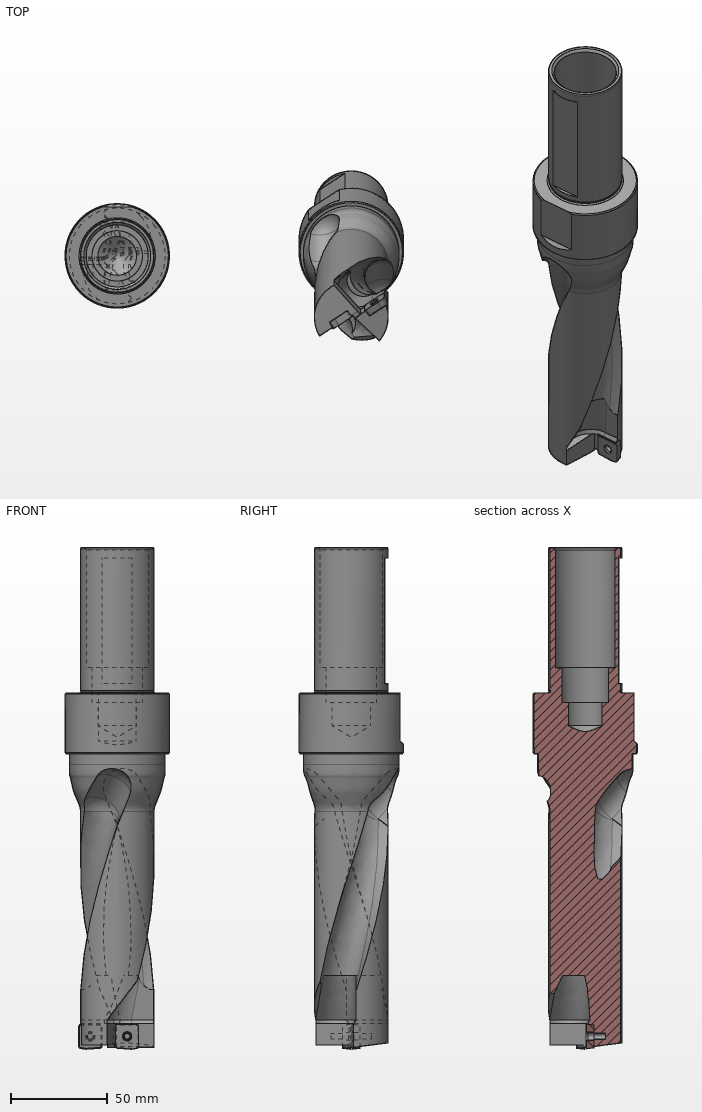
import cadquery as cq
import math


total_height = 259.13
collar_top = 184.0
collar_bottom = 152.6
cup_top = 147.2
shoulder_bottom = 122.9
body_bottom = 1.0

body_diameter = 38.09
neck_diameter = 37.59
collar_diameter = 54.0
cup_diameter = 49.5
body_radius = body_diameter / 2
neck_radius = neck_diameter / 2
collar_radius = collar_diameter / 2
cup_radius = cup_diameter / 2

clear_radius = body_radius + 3.0

neck_length = 1.4
neck_flare_radius = 19.7
neck_flare_height = 0.5
shank_chamfer_width = 0.25
shank_chamfer_height = 1.0
collar_chamfer = 0.6
shoulder_fillet = 10.0

bore_steps = [(32.05, 62.0), (26.05, 80.0), (20.0, 92.0)]
bore_chamfer = 1.27
bore_point_angle = 118.0

shank_flat_y = 17.4
shank_flat_top = total_height - 5.5
shank_flat_bottom = collar_top + 4.8
collar_flat_y = 25.2
collar_flat_bottom = 157.4

flute_count = 2
flute_bottom = 31.0
flute_top = shoulder_bottom
flute_lead_angle = 188.5
flute_twist_rate = 0.962
flute_radius = 10.5
flute_centre_distance = 14.0
slot_reach = 30.0

runout_end = cq.Vector(-2.8, -25.0, 134.5)

rake_y = 2.5
seat_floor_y = 1.2
pocket_top_z = 38.0
pocket_step_top_z = 15.2
pocket_seat_z = 13.2
pocket_top_x = 12.3
pocket_top_y = -14.5
rake_top_x = 11.7
inner_mouth_x = -5.2
inner_floor_x = -1.0
inner_rake_x = 7.3
outer_mouth_x = 2.0
outer_floor_x = 5.0
outer_rake_x = 11.0

heel_z = 2.1
relief_rise = 2.3

insert_width = 12.0
insert_top_z = 12.9
insert_corner_z = 0.6
insert_vertex_offset = 2.2
insert_corner_radius = 1.2
insert_face_y = 0.5
insert_thickness = 3.9
insert_clearance_angle = 7.0
inner_insert_x = 5.1
outer_insert_x = 13.9
insert_hole_z = 6.7
insert_hole_diameter = 4.0
insert_sink_diameter = 4.8
insert_sink_depth = 1.0
screw_hole_diameter = 3.0
screw_hole_depth = 6.0


def half_turn(shape):
    return shape.rotate((0, 0, 0), (0, 0, 1), 180)


def turned_blank():
    blend_height = cup_top - shoulder_bottom
    radius_step = cup_radius - body_radius
    radius_sum = (blend_height**2 + radius_step**2) / (2 * radius_step)
    cup_arc = radius_sum - shoulder_fillet
    end_angle = math.asin(blend_height / radius_sum)

    def cup_point(angle):
        return (cup_radius - cup_arc * (1 - math.cos(angle)), cup_top - cup_arc * math.sin(angle))

    def fillet_point(angle):
        return (
            body_radius + shoulder_fillet * (1 - math.cos(angle)),
            shoulder_bottom + shoulder_fillet * math.sin(angle),
        )

    profile = (
        cq.Workplane("XZ")
        .moveTo(0, body_bottom)
        .lineTo(body_radius, body_bottom)
        .lineTo(body_radius, shoulder_bottom)
        .spline(
            [
                (body_radius, shoulder_bottom),
                fillet_point(end_angle / 2),
                fillet_point(end_angle),
                cup_point(end_angle * 2 / 3),
                cup_point(end_angle / 3),
                (cup_radius, cup_top),
            ],
            tangents=[(0, 1), (0, 1)],
        )
        .lineTo(cup_radius, collar_bottom)
        .lineTo(collar_radius - collar_chamfer, collar_bottom)
        .lineTo(collar_radius, collar_bottom + collar_chamfer)
        .lineTo(collar_radius, collar_top - collar_chamfer)
        .lineTo(collar_radius - collar_chamfer, collar_top)
        .lineTo(neck_flare_radius, collar_top)
        .lineTo(neck_radius, collar_top + neck_flare_height)
        .lineTo(neck_radius, collar_top + neck_length)
        .lineTo(body_radius, collar_top + neck_length)
        .lineTo(body_radius, total_height - shank_chamfer_height)
        .lineTo(body_radius - shank_chamfer_width, total_height)
        .lineTo(0, total_height)
        .close()
    )
    return profile.revolve(360, (0, 0), (0, 1))


def shank_bore():
    start_z = total_height - bore_chamfer
    outline = [(0, total_height), (bore_steps[0][0] / 2 + bore_chamfer, total_height)]
    for diameter, depth in bore_steps:
        outline.append((diameter / 2, start_z))
        start_z = total_height - depth
        outline.append((diameter / 2, start_z))
    point_height = bore_steps[-1][0] / 2 / math.tan(math.radians(bore_point_angle / 2))
    outline.append((0, start_z - point_height))
    return cq.Workplane("XZ").polyline(outline).close().revolve(360, (0, 0), (0, 1))


def shank_flat():
    height = shank_flat_top - shank_flat_bottom
    cutter = cq.Workplane("XY").box(2 * clear_radius, clear_radius, height, centered=(True, False, False))
    return cutter.translate((0, shank_flat_y, shank_flat_bottom))


def collar_flat():
    depth = 2 * (collar_radius - collar_flat_y)
    outline = [
        (collar_flat_y, collar_top),
        (collar_flat_y, collar_flat_bottom + depth / 2),
        (collar_flat_y + depth, collar_flat_bottom - depth / 2),
        (collar_flat_y + depth, collar_top),
    ]
    return cq.Workplane("YZ").polyline(outline).close().extrude(collar_radius, both=True)


def slot_outline(plane, centre):
    x, y = centre
    return (
        plane.moveTo(x + slot_reach, y + flute_radius)
        .lineTo(x, y + flute_radius)
        .threePointArc((x - flute_radius, y), (x, y - flute_radius))
        .lineTo(x + slot_reach, y - flute_radius)
        .close()
    )


def flute():
    height = flute_top - flute_bottom
    plane = cq.Workplane("XY", origin=(0, 0, flute_bottom))
    slot = slot_outline(plane, (flute_centre_distance, -flute_radius))
    cutter = slot.twistExtrude(height, flute_twist_rate * height)
    return cutter.rotate((0, 0, 0), (0, 0, 1), flute_lead_angle)


def flute_runout():
    top_angle = math.radians(flute_lead_angle + flute_twist_rate * (flute_top - flute_bottom))
    wall = cq.Vector(math.cos(top_angle), math.sin(top_angle))
    across = cq.Vector(math.sin(top_angle), -math.cos(top_angle))
    start = wall * flute_centre_distance + across * flute_radius + cq.Vector(0, 0, flute_top)
    path = runout_end - start
    direction = path.normalized()
    outward = (wall - direction * wall.dot(direction)).normalized()
    slot_plane = cq.Workplane(cq.Plane(start, outward, direction))
    slot = slot_outline(slot_plane, (0, 0)).extrude(path.Length)
    end_wall = cq.Workplane(obj=cq.Solid.makeCylinder(flute_radius, slot_reach, runout_end, outward))
    ball = cq.Workplane("XY").sphere(flute_radius)
    return slot.union(end_wall).union(ball.translate(start)).union(ball.translate(runout_end))


def pocket_section(z, floor_y, tangent_x, mouth_x, mouth_y):
    run = tangent_x - mouth_x
    rise = floor_y - mouth_y
    radius = (run**2 + rise**2) / (2 * rise)
    half_sweep = math.atan2(rise, run)
    middle = cq.Vector(
        tangent_x - radius * math.sin(half_sweep),
        floor_y - radius * (1 - math.cos(half_sweep)),
        z,
    )
    tangent_point = cq.Vector(tangent_x, floor_y, z)
    mouth_point = cq.Vector(mouth_x, mouth_y, z)
    corners = [
        mouth_point,
        cq.Vector(mouth_x, -clear_radius, z),
        cq.Vector(clear_radius, -clear_radius, z),
        cq.Vector(clear_radius, floor_y, z),
        tangent_point,
    ]
    edges = [cq.Edge.makeLine(start, end) for start, end in zip(corners, corners[1:])]
    edges.append(cq.Edge.makeThreePointArc(tangent_point, middle, mouth_point))
    return cq.Wire.assembleEdges(edges)


def insert_pocket(mouth_x, floor_x, rake_x):
    mouth_y = -math.sqrt(body_radius**2 - mouth_x**2)
    ramp = cq.Solid.makeLoft(
        [
            pocket_section(pocket_top_z, rake_y, rake_top_x, pocket_top_x, pocket_top_y),
            pocket_section(pocket_step_top_z, rake_y, rake_x, mouth_x, mouth_y),
            pocket_section(pocket_seat_z, seat_floor_y, rake_x, mouth_x, mouth_y),
        ],
        True,
    )
    outline = [
        (mouth_x, mouth_y),
        (floor_x, seat_floor_y),
        (clear_radius, seat_floor_y),
        (clear_radius, -clear_radius),
        (mouth_x, -clear_radius),
    ]
    seat = cq.Workplane("XY").polyline(outline).close().extrude(pocket_seat_z)
    return seat.union(cq.Workplane(obj=ramp))


def bottom_relief():
    outline = [
        (-collar_radius, 0),
        (-collar_radius, heel_z),
        (-seat_floor_y, heel_z),
        (-seat_floor_y, body_bottom),
        (seat_floor_y, body_bottom),
        (body_radius, body_bottom + relief_rise),
        (body_radius, 0),
    ]
    return cq.Workplane("YZ").polyline(outline).close().extrude(collar_radius, both=True)


def insert_blank(centre_x):
    half = insert_width / 2
    outline = cq.Sketch().polygon(
        [
            (-half, insert_top_z),
            (-half, insert_corner_z),
            (insert_vertex_offset, 0),
            (half, insert_corner_z),
            (half, insert_top_z),
            (-half, insert_top_z),
        ]
    )
    outline = outline.vertices().fillet(insert_corner_radius)
    face_plane = cq.Workplane("XZ", origin=(centre_x, insert_face_y, 0))
    return face_plane.placeSketch(outline).extrude(-insert_thickness, taper=insert_clearance_angle)


def cutting_insert(centre_x):
    hole_plane = cq.Workplane("XZ", origin=(centre_x, insert_face_y, insert_hole_z))
    hole = hole_plane.circle(insert_hole_diameter / 2).extrude(-insert_thickness)
    sink = (
        hole_plane.circle(insert_sink_diameter / 2)
        .workplane(offset=-insert_sink_depth)
        .circle(insert_hole_diameter / 2)
        .loft()
    )
    return insert_blank(centre_x).cut(hole).cut(sink)


def insert_seat(centre_x):
    seat_back = cq.Workplane("XZ", origin=(centre_x, insert_face_y + insert_thickness, insert_hole_z))
    screw_hole = seat_back.circle(screw_hole_diameter / 2).extrude(-screw_hole_depth)
    return insert_blank(centre_x).union(screw_hole)


def drill_body():
    body = turned_blank().cut(shank_bore()).cut(shank_flat()).cut(collar_flat())
    for index in range(flute_count):
        turn = index * 360 / flute_count
        for cutter in (flute(), flute_runout()):
            body = body.cut(cutter.rotate((0, 0, 0), (0, 0, 1), turn))
    body = body.cut(insert_pocket(inner_mouth_x, inner_floor_x, inner_rake_x))
    body = body.cut(half_turn(insert_pocket(outer_mouth_x, outer_floor_x, outer_rake_x)))
    body = body.cut(bottom_relief())
    body = body.cut(insert_seat(inner_insert_x))
    return body.cut(half_turn(insert_seat(outer_insert_x)))


drill = drill_body()
inner_insert = cutting_insert(inner_insert_x)
outer_insert = half_turn(cutting_insert(outer_insert_x))

result = cq.Compound.makeCompound([drill.val(), inner_insert.val(), outer_insert.val()])